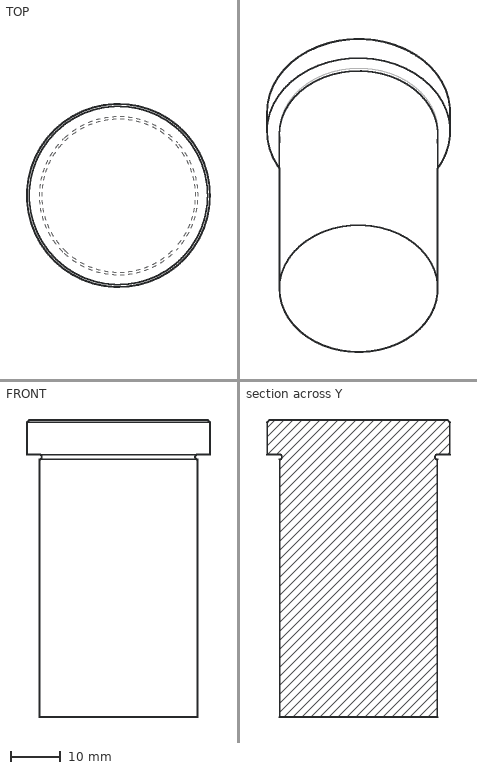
import cadquery as cq

total_height = 60.0
head_diameter = 37.0
head_height = 7.0
shank_diameter = 32.0

head_chamfer = 0.5

groove_radius = 0.5

head_radius = head_diameter / 2
shank_radius = shank_diameter / 2
groove_floor_radius = shank_radius - groove_radius
head_underside = total_height - head_height
groove_middle = head_underside - groove_radius
shank_top = groove_middle - groove_radius


def half_profile():
    """Radius-height outline of the headed pin, to be spun about Z."""
    return (
        cq.Workplane("XZ")
        .moveTo(0, 0)
        .lineTo(shank_radius, 0)
        .lineTo(shank_radius, shank_top)
        .threePointArc((groove_floor_radius, groove_middle), (shank_radius, head_underside))
        .lineTo(head_radius, head_underside)
        .lineTo(head_radius, total_height - head_chamfer)
        .lineTo(head_radius - head_chamfer, total_height)
        .lineTo(0, total_height)
        .close()
    )


result = half_profile().revolve(360, (0, 0, 0), (0, 1, 0))